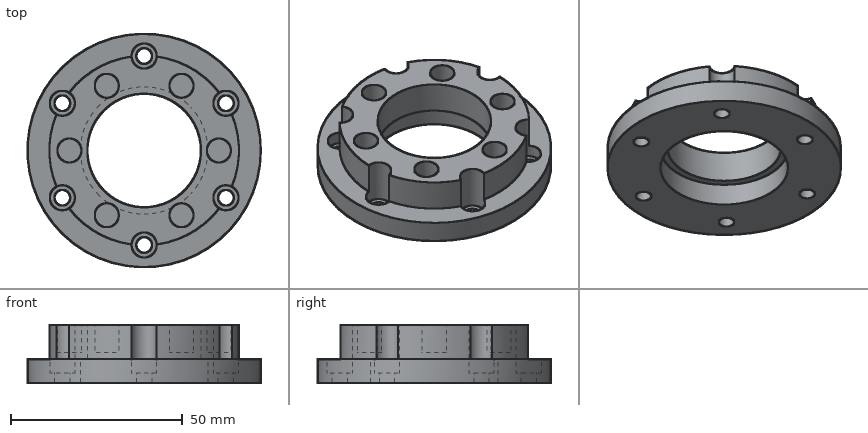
import cadquery as cq

flange_diameter = 68.0
flange_height = 7.0
boss_diameter = 55.2
boss_height = 10.0
total_height = flange_height + boss_height

bore_diameter = 33.0
recess_diameter = 37.1
recess_depth = flange_height

hole_count = 6
screw_circle_diameter = 55.0
screw_hole_diameter = 4.5
screw_head_diameter = 7.3
screw_head_depth_in_flange = 4.0
screw_start_angle = 30.0

blind_circle_diameter = 43.5
blind_hole_diameter = 7.0
blind_hole_depth = 8.0
blind_start_angle = 0.0


def cylinder(diameter, bottom, top):
    """Cylinder on the part axis between two heights."""
    return cq.Workplane("XY").workplane(offset=bottom).circle(diameter / 2).extrude(top - bottom)


def cylinder_ring(circle_diameter, start_angle, diameter, bottom, top):
    """Evenly spaced vertical cylinders between two heights."""
    return (
        cq.Workplane("XY")
        .workplane(offset=bottom)
        .polarArray(circle_diameter / 2, start_angle, 360, hole_count)
        .circle(diameter / 2)
        .extrude(top - bottom)
    )


def make_body():
    flange = cylinder(flange_diameter, 0, flange_height)
    boss = cylinder(boss_diameter, flange_height, total_height)
    return flange.union(boss)


def cut_bore(body):
    bore = cylinder(bore_diameter, 0, total_height)
    recess = cylinder(recess_diameter, 0, recess_depth)
    return body.cut(bore).cut(recess)


def cut_screw_holes(body):
    head_seat = flange_height - screw_head_depth_in_flange
    shanks = cylinder_ring(
        screw_circle_diameter, screw_start_angle, screw_hole_diameter, 0, total_height
    )
    heads = cylinder_ring(
        screw_circle_diameter, screw_start_angle, screw_head_diameter, head_seat, total_height
    )
    return body.cut(shanks).cut(heads)


def cut_blind_holes(body):
    floor = total_height - blind_hole_depth
    holes = cylinder_ring(
        blind_circle_diameter, blind_start_angle, blind_hole_diameter, floor, total_height
    )
    return body.cut(holes)


result = cut_blind_holes(cut_screw_holes(cut_bore(make_body())))